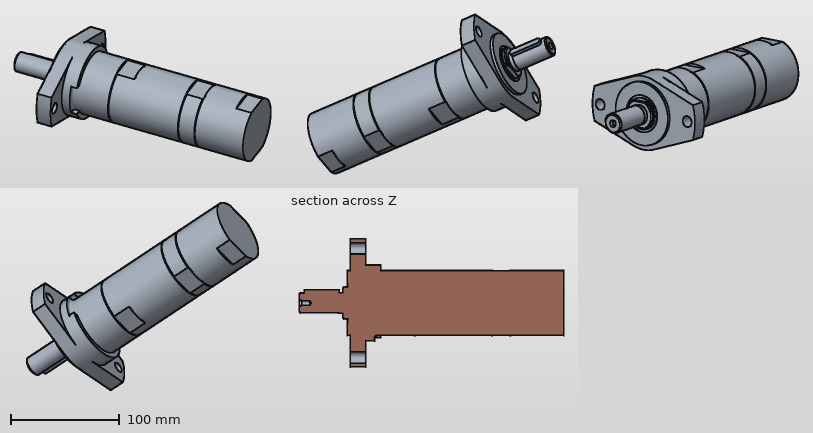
import cadquery as cq
import math


shaft_step_x = 36.0
collar_x = 39.9
spigot_x = 44.0
flange_x = 47.0
flange_back_x = 61.2
notch_x = 69.3
boss_back_x = 75.0
body_end_x = 243.0

shaft_diameter = 18.7
shaft_root_diameter = 19.0
shaft_chamfer = 1.2
centre_mouth_diameter = 6.5
centre_bore_diameter = 4.0
centre_cone_half_angle = 30.0
centre_bore_depth = 9.7
drill_tip_half_angle = 59.0
key_start_x = 4.5
key_length = 32.3
key_width = 6.0
key_top = 12.2
collar_diameter = 30.0
collar_chamfer = 1.2
collar_across_flats = 24.0
seal_recess_diameter = 35.0
seal_recess_depth = 0.5

relief_width = 0.7
relief_depth = 0.2

boss_diameter = 70.0
flange_span = 118.0
flange_side_angle = 20.0
bolt_hole_diameter = 10.2
bolt_spacing = 100.0
notch_width = 29.6
notch_fillet = 2.07

body_diameter = 60.0
body_across_flats = 55.2
flatted_bands = [
    (105.7, 124.0, True, False),
    (176.7, 194.2, True, True),
    (227.7, body_end_x, False, False),
]


def cylinder(diameter, start_x, end_x):
    disc = cq.Workplane("YZ", origin=(start_x, 0, 0)).circle(diameter / 2)
    return disc.extrude(end_x - start_x)


def revolved(profile):
    """Turn a closed profile drawn as (axial position, radius) about the X axis."""
    return profile.close().revolve(360, (0, 0, 0), (1, 0, 0))


def box_between(start_x, end_x, width_y, width_z):
    length = end_x - start_x
    return cq.Workplane("XY").box(length, width_y, width_z).translate((start_x + length / 2, 0, 0))


def flats_cut(part, start_x, end_x, diameter, across_flats):
    """Cut flats on the +Z and -Z sides of a round length."""
    waste = cylinder(2 * diameter, start_x, end_x)
    waste = waste.cut(box_between(start_x, end_x, 4 * diameter, across_flats))
    return part.cut(waste)


def relief_cut(part, start_x, outer_diameter):
    """Cut a narrow, shallow ring groove."""
    floor_diameter = outer_diameter - 2 * relief_depth
    end_x = start_x + relief_width
    ring = cylinder(2 * outer_diameter, start_x, end_x).cut(cylinder(floor_diameter, start_x, end_x))
    return part.cut(ring)


def make_shaft():
    shaft = cylinder(shaft_diameter, 0, shaft_step_x).faces("<X").chamfer(shaft_chamfer)
    root = cylinder(shaft_root_diameter, shaft_step_x, spigot_x)
    key = (
        cq.Workplane("XZ")
        .center(key_start_x + key_length / 2, 0)
        .slot2D(key_length, key_width)
        .extrude(-key_top)
    )
    shaft = shaft.union(root).union(key)

    mouth_radius = centre_mouth_diameter / 2
    bore_radius = centre_bore_diameter / 2
    cone_depth = (mouth_radius - bore_radius) / math.tan(math.radians(centre_cone_half_angle))
    tip_length = bore_radius / math.tan(math.radians(drill_tip_half_angle))
    centre_hole = revolved(
        cq.Workplane("XY")
        .lineTo(0, mouth_radius)
        .lineTo(cone_depth, bore_radius)
        .lineTo(centre_bore_depth, bore_radius)
        .lineTo(centre_bore_depth + tip_length, 0)
    )
    return shaft.cut(centre_hole)


def make_collar():
    """Chamfered collar, with flats and a relief groove in front of the spigot face."""
    seat_x = spigot_x + seal_recess_depth
    collar = cylinder(collar_diameter, collar_x, seat_x).faces("<X").chamfer(collar_chamfer)
    collar = flats_cut(collar, collar_x, spigot_x, collar_diameter, collar_across_flats)
    return relief_cut(collar, spigot_x - relief_width, collar_diameter)


def make_flange():
    """Plate with round ends and straight sides tangent to the boss circle."""
    angle = math.radians(flange_side_angle)
    boss_radius = boss_diameter / 2
    tangent_y = boss_radius * math.sin(angle)
    tangent_z = boss_radius * math.cos(angle)
    side_tip_y = boss_radius / math.sin(angle)
    diamond = (
        cq.Workplane("YZ", origin=(flange_x, 0, 0))
        .moveTo(side_tip_y, 0)
        .lineTo(tangent_y, tangent_z)
        .threePointArc((0, boss_radius), (-tangent_y, tangent_z))
        .lineTo(-side_tip_y, 0)
        .lineTo(-tangent_y, -tangent_z)
        .threePointArc((0, -boss_radius), (tangent_y, -tangent_z))
        .close()
        .extrude(flange_back_x - flange_x)
    )
    plate = diamond.intersect(cylinder(flange_span, flange_x, flange_back_x))
    for side in (-1, 1):
        hole = cylinder(bolt_hole_diameter, flange_x, flange_back_x)
        plate = plate.cut(hole.translate((0, side * bolt_spacing / 2, 0)))
    return plate


def make_boss():
    """Boss behind the flange, notched on its -Y side down to the body surface."""
    boss = cylinder(boss_diameter, flange_back_x, boss_back_x)
    floor_radius = body_diameter / 2
    arc_inset = notch_fillet * (1 - math.sqrt(0.5))
    ring = revolved(
        cq.Workplane("XY")
        .moveTo(notch_x, boss_diameter)
        .lineTo(notch_x, floor_radius + notch_fillet)
        .threePointArc(
            (notch_x + arc_inset, floor_radius + arc_inset),
            (notch_x + notch_fillet, floor_radius),
        )
        .lineTo(boss_back_x, floor_radius)
        .lineTo(boss_back_x, boss_diameter)
    )
    slot = box_between(notch_x, boss_back_x, boss_diameter, notch_width)
    return boss.cut(ring.intersect(slot.translate((0, -boss_diameter / 2, 0))))


def make_body():
    body = cylinder(body_diameter, spigot_x, body_end_x)
    body = body.cut(cylinder(seal_recess_diameter, spigot_x, spigot_x + seal_recess_depth))
    for start_x, end_x, groove_at_start, groove_at_end in flatted_bands:
        body = flats_cut(body, start_x, end_x, body_diameter, body_across_flats)
        if groove_at_start:
            body = relief_cut(body, start_x, body_diameter)
        if groove_at_end:
            body = relief_cut(body, end_x - relief_width, body_diameter)
    return body


result = make_body().union(make_flange()).union(make_boss()).union(make_collar()).union(make_shaft())